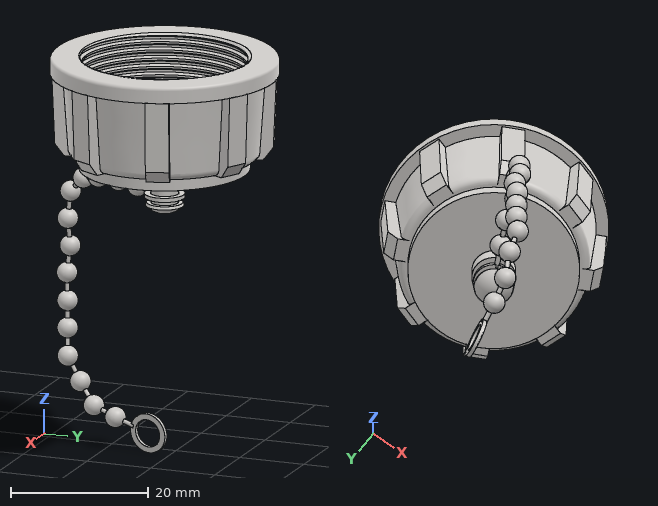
import cadquery as cq
import math


FLANGE_RADIUS = 16.8
FLANGE_HEIGHT = 2.5
FLANGE_EDGE_RADIUS = 0.6

SKIRT_BOTTOM_Z = -15.05
CORE_TOP_RADIUS = 14.9
CORE_BOTTOM_RADIUS = 14.05
CORE_EDGE_RADIUS = 1.1
RIB_COUNT = 8
RIB_WIDTH = 3.45
RIB_FIRST_ANGLE = 17.5
RIB_ROOT_RADIUS = 12.55
RIB_TOP_RADIUS = 16.4
RIB_LOWER_RADIUS = 16.0
RIB_BOTTOM_RADIUS = 14.55
RIB_BEVEL_HEIGHT = 1.9

DISC_RADIUS = 12.55
DISC_BOTTOM_Z = -16.9
POST_RADIUS = 3.2
POST_BOTTOM_Z = -19.3
NECK_RADIUS = 2.0
NECK_BOTTOM_Z = -22.1
HEAD_TOP_RADIUS = 2.7
HEAD_RADIUS = 2.9
HEAD_RIM_HEIGHT = 0.45
HEAD_DOME_HEIGHT = 1.25

BORE_RADIUS = 12.15
BORE_DEPTH = 8.5
MOUTH_BEVEL = 0.4
THREAD_PITCH = 1.25
THREAD_DEPTH = 0.5
THREAD_FLANK_ANGLE = 30.0
THREAD_CREST_WIDTH = THREAD_PITCH / 4
THREAD_START_ANGLE = -50.0
THREAD_OVERCUT = 0.1

RING_RADIUS = 3.0
RING_HOLE_RADIUS = 2.05
RING_THICKNESS = 0.6
BEAD_RADIUS = 1.55
LINK_RADIUS = 0.4
NECK_RING_CENTER = cq.Vector(0, 0, -21.05)
NECK_RING_AXIS = cq.Vector(0, 0, 1)
END_RING_CENTER = cq.Vector(-7.45, -5.45, -59.65)
END_RING_AXIS = cq.Vector(0.98, -0.2, -0.07)
BEAD_CENTERS = [
    cq.Vector(-2.8, -5.3, -21.0),
    cq.Vector(-4.65, -9.0, -21.0),
    cq.Vector(-5.7, -12.6, -21.1),
    cq.Vector(-7.95, -15.85, -22.2),
    cq.Vector(-9.5, -18.5, -24.9),
    cq.Vector(-9.85, -19.05, -29.15),
    cq.Vector(-10.8, -19.05, -33.5),
    cq.Vector(-10.8, -19.55, -37.65),
    cq.Vector(-10.85, -19.5, -41.9),
    cq.Vector(-10.85, -19.5, -46.05),
    cq.Vector(-10.45, -19.3, -50.2),
    cq.Vector(-10.4, -17.3, -53.8),
    cq.Vector(-9.2, -14.7, -56.9),
    cq.Vector(-8.4, -11.0, -58.1),
]


def make_flange():
    """Round band at the mouth with a rounded upper edge."""
    flange = cq.Workplane("XY").circle(FLANGE_RADIUS).extrude(-FLANGE_HEIGHT)
    return flange.faces(">Z").edges().fillet(FLANGE_EDGE_RADIUS)


def make_core():
    """Tapered skirt wall between the ribs, rounded at its lower edge."""
    core = (
        cq.Workplane("XZ")
        .moveTo(0, -FLANGE_HEIGHT)
        .lineTo(CORE_TOP_RADIUS, -FLANGE_HEIGHT)
        .lineTo(CORE_BOTTOM_RADIUS, SKIRT_BOTTOM_Z)
        .lineTo(0, SKIRT_BOTTOM_Z)
        .close()
        .revolve(360, (0, 0), (0, 1))
    )
    return core.faces("<Z").edges().fillet(CORE_EDGE_RADIUS)


def make_rib(angle):
    """One flat-faced grip rib with a bevelled lower end, turned to its angle."""
    rib = (
        cq.Workplane("XZ")
        .moveTo(RIB_ROOT_RADIUS, -FLANGE_HEIGHT)
        .lineTo(RIB_TOP_RADIUS, -FLANGE_HEIGHT)
        .lineTo(RIB_LOWER_RADIUS, SKIRT_BOTTOM_Z + RIB_BEVEL_HEIGHT)
        .lineTo(RIB_BOTTOM_RADIUS, SKIRT_BOTTOM_Z)
        .lineTo(RIB_ROOT_RADIUS, SKIRT_BOTTOM_Z)
        .close()
        .extrude(RIB_WIDTH / 2, both=True)
    )
    return rib.rotate((0, 0, 0), (0, 0, 1), angle)


def make_foot():
    """Disc, post, neck and domed head, turned as one profile."""
    rim_z = NECK_BOTTOM_Z - HEAD_RIM_HEIGHT
    dome_z = rim_z - HEAD_DOME_HEIGHT
    dome_radius = (HEAD_RADIUS**2 + HEAD_DOME_HEIGHT**2) / (2 * HEAD_DOME_HEIGHT)
    half_angle = math.asin(HEAD_RADIUS / dome_radius) / 2
    dome_mid = (
        dome_radius * math.sin(half_angle),
        dome_z + dome_radius * (1 - math.cos(half_angle)),
    )
    return (
        cq.Workplane("XZ")
        .moveTo(0, SKIRT_BOTTOM_Z)
        .lineTo(DISC_RADIUS, SKIRT_BOTTOM_Z)
        .lineTo(DISC_RADIUS, DISC_BOTTOM_Z)
        .lineTo(POST_RADIUS, DISC_BOTTOM_Z)
        .lineTo(POST_RADIUS, POST_BOTTOM_Z)
        .lineTo(NECK_RADIUS, POST_BOTTOM_Z)
        .lineTo(NECK_RADIUS, NECK_BOTTOM_Z)
        .lineTo(HEAD_TOP_RADIUS, NECK_BOTTOM_Z)
        .lineTo(HEAD_RADIUS, rim_z)
        .threePointArc(dome_mid, (0, dome_z))
        .close()
        .revolve(360, (0, 0), (0, 1))
    )


def make_thread_groove():
    """Helical groove of trapezoid section that runs from the bore floor out through the mouth."""
    flank_slope = math.tan(math.radians(THREAD_FLANK_ANGLE))
    mouth_half = (THREAD_PITCH - THREAD_CREST_WIDTH) / 2
    root_half = mouth_half - THREAD_DEPTH * flank_slope
    inner_half = mouth_half + THREAD_OVERCUT * flank_slope
    inner_radius = BORE_RADIUS - THREAD_OVERCUT
    root_radius = BORE_RADIUS + THREAD_DEPTH
    start_z = inner_half - BORE_DEPTH
    helix = cq.Wire.makeHelix(THREAD_PITCH, THREAD_PITCH - start_z, BORE_RADIUS)
    groove = (
        cq.Workplane("XZ")
        .moveTo(inner_radius, -inner_half)
        .lineTo(root_radius, -root_half)
        .lineTo(root_radius, root_half)
        .lineTo(inner_radius, inner_half)
        .close()
        .sweep(cq.Workplane(helix), isFrenet=True)
    )
    return groove.rotate((0, 0, 0), (0, 0, 1), THREAD_START_ANGLE).translate((0, 0, start_z))


def make_mouth_cone():
    """Cone that bevels the mouth of the bore at 45 degrees."""
    base = cq.Vector(0, 0, -MOUTH_BEVEL)
    return cq.Workplane(cq.Solid.makeCone(BORE_RADIUS, BORE_RADIUS + MOUTH_BEVEL, MOUTH_BEVEL, base))


def make_cap():
    """Screw cap with ribbed skirt, rivet foot and threaded bore."""
    cap = make_flange().union(make_core()).union(make_foot())
    for index in range(RIB_COUNT):
        cap = cap.union(make_rib(RIB_FIRST_ANGLE + index * 360 / RIB_COUNT))
    bore = cq.Workplane("XY").circle(BORE_RADIUS).extrude(-BORE_DEPTH)
    cap = cap.cut(bore).cut(make_thread_groove())
    return cap.cut(make_mouth_cone())


def make_ring(center, axis):
    """Flat ring centred on a point."""
    base = center - axis.normalized() * (RING_THICKNESS / 2)
    plane = cq.Plane(origin=base, normal=axis)
    return cq.Workplane(plane).circle(RING_RADIUS).circle(RING_HOLE_RADIUS).extrude(RING_THICKNESS)


def make_link(start, end):
    """Straight wire between two points."""
    span = end - start
    return cq.Workplane(cq.Solid.makeCylinder(LINK_RADIUS, span.Length, start, span))


def ring_edge_toward(center, target):
    """Point in the middle of a ring's band, on the side that faces the target."""
    band_radius = (RING_RADIUS + RING_HOLE_RADIUS) / 2
    return center + (target - center).normalized() * band_radius


def make_chain():
    """Beads joined by wire links, with a ring at each end."""
    chain = make_ring(NECK_RING_CENTER, NECK_RING_AXIS)
    stops = [
        ring_edge_toward(NECK_RING_CENTER, BEAD_CENTERS[0]),
        *BEAD_CENTERS,
        ring_edge_toward(END_RING_CENTER, BEAD_CENTERS[-1]),
    ]
    for start, end in zip(stops, stops[1:]):
        chain = chain.union(make_link(start, end))
    for center in BEAD_CENTERS:
        chain = chain.union(cq.Workplane("XY").sphere(BEAD_RADIUS).translate(center))
    return chain.union(make_ring(END_RING_CENTER, END_RING_AXIS))


cap = make_cap()
chain = make_chain()
result = cq.Compound.makeCompound([cap.val(), chain.val()])